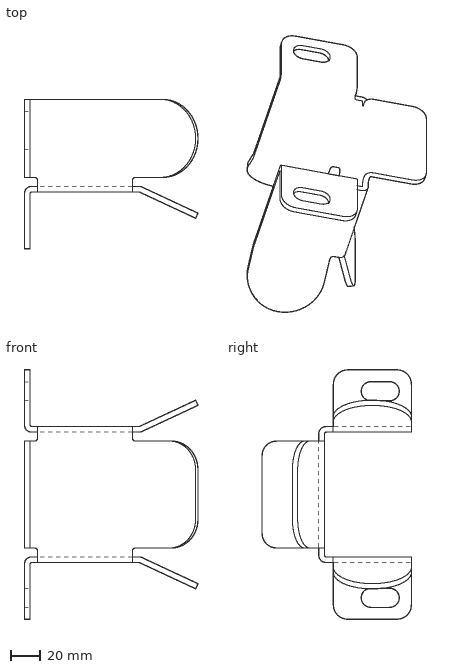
import math

import cadquery as cq

THICKNESS = 4.0
INNER_RADIUS = 1.0
OUTER_RADIUS = INNER_RADIUS + THICKNESS

ARC_MIDDLE = math.sqrt(0.5)

LENGTH = 119.5
HEIGHT = 171.66
DEPTH = 102.83
FLANGE_HEIGHT = 39.0
HALF_HEIGHT = HEIGHT / 2 - FLANGE_HEIGHT
WALL_DEPTH = DEPTH - FLANGE_HEIGHT

FLAT_START = OUTER_RADIUS
FLAT_END = 78.8
NECK_START = 9.0
NECK_END = 74.4
RELIEF = 5.0
RELIEF_RADIUS = 2.0
FRONT_HALF_WIDTH = HALF_HEIGHT - OUTER_RADIUS - RELIEF
SIDE_WIDTH = WALL_DEPTH - OUTER_RADIUS - RELIEF

FLANGE_ANGLE = 90.0
FLANGE_CORNER = 10.0
FLANGE_LENGTH = FLANGE_HEIGHT - INNER_RADIUS
FLARE_ANGLE = 25.0
FLARE_SIN = math.sin(math.radians(FLARE_ANGLE))
FLARE_COS = math.cos(math.radians(FLARE_ANGLE))
TAB_LENGTH = (LENGTH - FLAT_END - OUTER_RADIUS * FLARE_SIN) / FLARE_COS
FRONT_TAB_CORNER = 20.0
SIDE_TAB_CORNER = SIDE_WIDTH / 2

SLOT_LENGTH = 26.0
SLOT_WIDTH = 13.0
SLOT_FROM_BACK = 21.5
SLOT_FROM_EDGE = 14.8


def ring_sector(angle):
    """Closed bend section about the origin, from straight down turning towards +X."""
    turn = math.radians(angle)

    def on_arc(radius, at):
        return radius * math.sin(at), -radius * math.cos(at)

    return (
        cq.Workplane("XZ")
        .moveTo(*on_arc(INNER_RADIUS, 0))
        .lineTo(*on_arc(OUTER_RADIUS, 0))
        .threePointArc(on_arc(OUTER_RADIUS, turn / 2), on_arc(OUTER_RADIUS, turn))
        .lineTo(*on_arc(INNER_RADIUS, turn))
        .threePointArc(on_arc(INNER_RADIUS, turn / 2), on_arc(INNER_RADIUS, 0))
        .close()
    )


def rounded_plate(length, width, corner):
    """Plate from x = 0 to length, centred on Y, top face at z = 0, far corners rounded."""
    half = width / 2
    straight_half = half - corner
    mid_x = length - corner + corner * ARC_MIDDLE
    mid_y = straight_half + corner * ARC_MIDDLE
    outline = (
        cq.Workplane("XY")
        .moveTo(0, -half)
        .lineTo(length - corner, -half)
        .threePointArc((mid_x, -mid_y), (length, -straight_half))
    )
    if straight_half > 0:
        outline = outline.lineTo(length, straight_half)
    outline = outline.threePointArc((mid_x, mid_y), (length - corner, half)).lineTo(0, half).close()
    return outline.extrude(-THICKNESS)


def folded_end(angle, length, width, corner):
    """Bend starting at x = 0 on a wall with its outer face at z = 0, then a rounded plate."""
    bend = ring_sector(angle).extrude(width / 2, both=True).translate((0, 0, INNER_RADIUS))
    plate = (
        rounded_plate(length, width, corner)
        .translate((0, 0, -INNER_RADIUS))
        .rotate((0, 0, 0), (0, 1, 0), -angle)
        .translate((0, 0, INNER_RADIUS))
    )
    return bend.union(plate)


def neck(edge):
    """Strip joining a wall edge at y = edge to the corner bend, with rounded roots."""
    diagonal = RELIEF_RADIUS * (1 - ARC_MIDDLE)
    return (
        cq.Workplane("XY")
        .moveTo(NECK_START - RELIEF_RADIUS, edge)
        .threePointArc((NECK_START - diagonal, edge + diagonal), (NECK_START, edge + RELIEF_RADIUS))
        .lineTo(NECK_START, edge + RELIEF)
        .lineTo(NECK_END, edge + RELIEF)
        .lineTo(NECK_END, edge + RELIEF_RADIUS)
        .threePointArc((NECK_END + diagonal, edge + diagonal), (NECK_END + RELIEF_RADIUS, edge))
        .close()
        .extrude(-THICKNESS)
    )


def wall(width, tab_corner):
    """Wall lying flat, outer face at z = 0, with its flange at -X, tab at +X and neck at +Y."""
    flat_length = FLAT_END - FLAT_START
    flat = cq.Workplane("XY").box(flat_length, width, THICKNESS, centered=(False, True, False))
    flat = flat.translate((FLAT_START, 0, -THICKNESS))
    flange = folded_end(FLANGE_ANGLE, FLANGE_LENGTH, width, FLANGE_CORNER)
    flange = flange.mirror("YZ").translate((FLAT_START, 0, 0))
    tab = folded_end(FLARE_ANGLE, TAB_LENGTH, width, tab_corner).translate((FLAT_END, 0, 0))
    return flat.union(flange).union(tab).union(neck(width / 2))


def front_wall():
    """Wall facing -Y, necked along both its top and bottom edges."""
    width = 2 * FRONT_HALF_WIDTH
    flat = wall(width, FRONT_TAB_CORNER)
    flat = flat.union(neck(width / 2).mirror("XZ"))
    return flat.rotate((0, 0, 0), (1, 0, 0), 90).translate((0, -WALL_DEPTH, 0))


def slot_cutter():
    """Slot through the top flange, long side along Y."""
    return (
        cq.Workplane("YZ")
        .center(-SLOT_FROM_BACK, HEIGHT / 2 - SLOT_FROM_EDGE)
        .slot2D(SLOT_LENGTH, SLOT_WIDTH)
        .extrude(THICKNESS)
    )


def top_wall():
    """Wall facing +Z, necked along its front edge, back edge at y = 0."""
    flat = wall(SIDE_WIDTH, SIDE_TAB_CORNER).mirror("XZ")
    return flat.translate((0, -SIDE_WIDTH / 2, HALF_HEIGHT)).cut(slot_cutter())


def top_corner():
    """Bend joining the front wall to the top wall between the reliefs."""
    center_y = -WALL_DEPTH + OUTER_RADIUS
    center_z = HALF_HEIGHT - OUTER_RADIUS
    sector = ring_sector(FLANGE_ANGLE).extrude(NECK_END - NECK_START)
    sector = sector.mirror("XY").rotate((0, 0, 0), (0, 0, 1), -90)
    return sector.translate((NECK_END, center_y, center_z))


upper = top_wall().union(top_corner())
result = front_wall().union(upper).union(upper.mirror("XY")).clean()